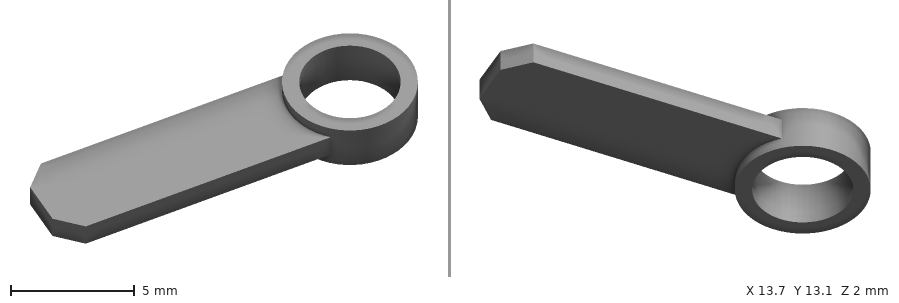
import cadquery as cq

ring_diameter = 5.5
bore_diameter = 4.1
ring_height = 2.0

arm_length = 14.0
arm_width = 3.99
arm_thickness = ring_height / 2
tip_chamfer = arm_width / 4
arm_angle = 43.0 + 180.0


def make_ring_blank():
    return cq.Workplane("XY").cylinder(ring_height, ring_diameter / 2)


def make_arm():
    """Flat bar at mid-height of the ring, with both tip corners chamfered."""
    bar = cq.Workplane("XY").box(
        arm_length, arm_width, arm_thickness, centered=(False, True, True)
    )
    bar = bar.faces(">X").edges("|Z").chamfer(tip_chamfer)
    return bar.rotate((0, 0, 0), (0, 0, 1), arm_angle)


bore = cq.Workplane("XY").cylinder(ring_height, bore_diameter / 2)
result = make_ring_blank().union(make_arm()).cut(bore)